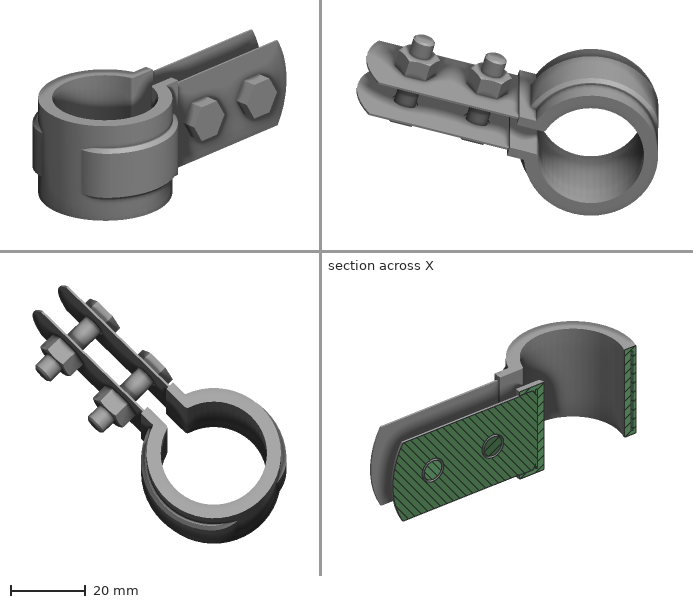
import cadquery as cq
import math


overall_length = 81.9

ring_height = 28.0
ring_radius = 18.0
bore_radius = 14.25
half_gap = 3.5
lip_top = 21.6
lip_fillet = 1.0

band_height = 15.0
band_diameter = 39.05
band_chamfer = 1.0
band_end_radius = 10.4
band_end_angle = 41.6
band_stop_angle = 100

strap_width = 25.05
strap_thickness = 0.6
strap_cover = 1.0
strap_end = overall_length - ring_radius
bolt_hole_diameter = 7.0

band_radius = band_diameter / 2
strap_inner_x = half_gap + strap_cover
strap_outer_x = strap_inner_x + strap_thickness
lip_outer_x = strap_outer_x + strap_cover
loop_outer_radius = ring_radius - strap_cover
loop_inner_radius = loop_outer_radius - strap_thickness

bolt_diameter = 6.0
bolt_tip_diameter = 4.9
bolt_length = 20.0
head_height = 4.0
nut_height = 5.0
nut_corner_drop = 0.3
across_flats = 10.0
across_corners = across_flats / math.cos(math.radians(30))
bolt_pitch = 20.0
first_bolt_y = 30.45
bolt_positions = [first_bolt_y, first_bolt_y + bolt_pitch]


def centred_box(x_min, x_max, y_min, y_max, height):
    """Box between the given X and Y limits, centred on Z = 0."""
    return (
        cq.Workplane("XY")
        .box(x_max - x_min, y_max - y_min, height)
        .translate(((x_min + x_max) / 2, (y_min + y_max) / 2, 0))
    )


def centred_cylinder(radius, height):
    """Cylinder on the pipe axis, centred on Z = 0."""
    return cq.Workplane("XY").circle(radius).extrude(height / 2, both=True)


def x_cylinder(diameter, x_start, length, y):
    """Cylinder along +X through Z = 0."""
    return cq.Workplane("YZ", origin=(x_start, y, 0)).circle(diameter / 2).extrude(length)


def x_hexagon(x_start, length, y):
    """Hexagonal prism along +X with two corners pointing along Y."""
    return cq.Workplane("YZ", origin=(x_start, y, 0)).polygon(6, across_corners).extrude(length)


def on_circle(radius, angle):
    """Point on a circle about the pipe axis; the angle is in degrees from +X."""
    return (radius * math.cos(math.radians(angle)), radius * math.sin(math.radians(angle)))


def make_half_band():
    """Band on the +X side: a concentric arc, then a smaller tangent arc that dips into the ring."""
    start_y = math.sqrt(band_radius**2 - lip_outer_x**2)
    end_centre_x, end_centre_y = on_circle(band_radius - band_end_radius, -band_end_angle)
    end_mid_x, end_mid_y = on_circle(band_end_radius, -(band_end_angle + band_stop_angle) / 2)
    end_x, end_y = on_circle(band_end_radius, -band_stop_angle)
    band = (
        cq.Workplane("XY", origin=(0, 0, -band_height / 2))
        .moveTo(lip_outer_x, start_y)
        .threePointArc((band_radius, 0), on_circle(band_radius, -band_end_angle))
        .threePointArc(
            (end_centre_x + end_mid_x, end_centre_y + end_mid_y),
            (end_centre_x + end_x, end_centre_y + end_y),
        )
        .lineTo(lip_outer_x, 0)
        .close()
        .extrude(band_height)
    )
    return band.faces("|Z").edges("%CIRCLE").chamfer(band_chamfer)


def make_strap():
    """One strip: a loop inside the cushion and two flat ears with rounded ends."""
    loop = centred_cylinder(loop_outer_radius, strap_width)
    loop = loop.cut(centred_cylinder(loop_inner_radius, strap_width))
    loop = loop.cut(centred_box(-strap_inner_x, strap_inner_x, 0, ring_radius, strap_width))
    ear_start = math.sqrt(loop_inner_radius**2 - strap_inner_x**2)
    ear = centred_box(strap_inner_x, strap_outer_x, ear_start, strap_end, strap_width)
    end_round = x_cylinder(2 * strap_width, 0, strap_outer_x, strap_end - strap_width)
    ear = ear.intersect(end_round)
    for y in bolt_positions:
        ear = ear.cut(x_cylinder(bolt_hole_diameter, 0, lip_outer_x, y))
    return loop.union(ear).union(ear.mirror("YZ"))


def make_cushion(strap):
    """Split ring with lips and raised band, hollowed where the strap runs."""
    lips = centred_box(-lip_outer_x, lip_outer_x, 0, lip_top, ring_height)
    half_band = make_half_band()
    ring = centred_cylinder(ring_radius, ring_height).union(lips)
    ring = ring.union(half_band).union(half_band.mirror("YZ"))
    ring = ring.cut(centred_cylinder(bore_radius, ring_height))
    ring = ring.cut(centred_box(-half_gap, half_gap, 0, lip_top, ring_height))
    corner_y = math.sqrt(bore_radius**2 - half_gap**2)
    for x in (-half_gap, half_gap):
        corner_edge = cq.selectors.NearestToPointSelector((x, corner_y, 0))
        ring = ring.edges("|Z").edges(corner_edge).fillet(lip_fillet)
    return ring.cut(strap)


def make_bolt(y):
    """Hexagon bolt with its head against the +X ear and a chamfered tip."""
    shank = x_cylinder(bolt_diameter, strap_outer_x - bolt_length, bolt_length, y)
    shank = shank.faces("<X").chamfer((bolt_diameter - bolt_tip_diameter) / 2)
    return shank.union(x_hexagon(strap_outer_x, head_height, y))


def make_nut(y):
    """Hexagon nut against the -X ear, its outer corners cut back by a shallow cone."""
    outer_x = -strap_outer_x - nut_height
    cone = (
        cq.Workplane("XY", origin=(outer_x, y, 0))
        .lineTo(0, across_flats / 2)
        .lineTo(nut_corner_drop, across_corners / 2)
        .lineTo(nut_height, across_corners / 2)
        .lineTo(nut_height, 0)
        .close()
        .revolve(360, (0, 0), (1, 0))
    )
    nut = x_hexagon(outer_x, nut_height, y).intersect(cone)
    return nut.cut(x_cylinder(bolt_diameter, outer_x, nut_height, y))


strap = make_strap()
cushion = make_cushion(strap)
bolts = [make_bolt(y).val() for y in bolt_positions]
nuts = [make_nut(y).val() for y in bolt_positions]

result = cq.Compound.makeCompound([cushion.val(), strap.val(), *bolts, *nuts])